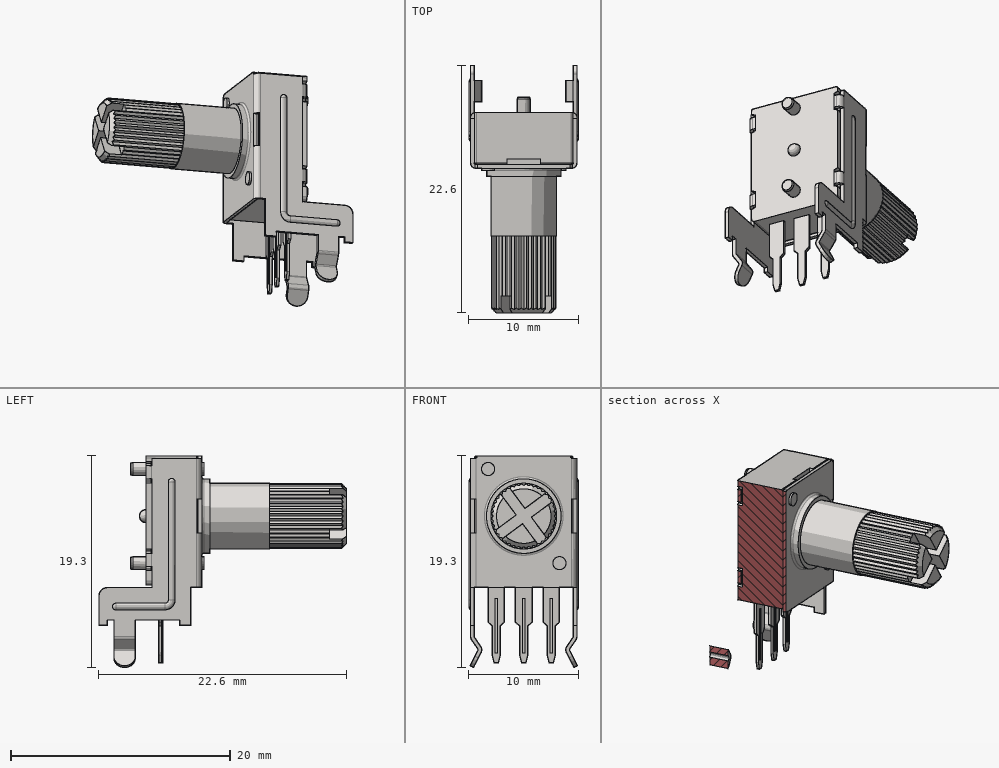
import cadquery as cq
import math


SHEET = 0.36
BRACKET_WIDTH = 9.72
BEND_OUTER_R = 0.5
BEND_INNER_R = BEND_OUTER_R - SHEET
BRACKET_BOTTOM = -6.5
SIDE_TOP = 5.27
SIDE_BACK = 4.57
HALF_WIDTH = BRACKET_WIDTH / 2
INNER_HALF = HALF_WIDTH - SHEET

TONGUE_BASE_HALF = 4.43
TONGUE_TOP_HALF = 4.2

NECK_D = 6.8
NECK_LENGTH = 0.72
NECK_FILLET = 0.18
BOSS_D = 1.2
BOSS_HEIGHT = 0.2
BOSS_X = 3.25
BOSS_Z = 4.3
NOTCH_HALF = 1.54
NOTCH_DEPTH = 0.43

FOOT_FRONT = 1.02
FOOT_BACK = 9.4
FOOT_CORNER_R = 0.8
FRONT_FOOT_LENGTH = 1.02
BACK_FOOT_LENGTH = 0.77
FOOT_BOTTOM = -9.97
EDGE_BOTTOM = -9.5

LEG_Y = 7.05
LEG_WIDTH = 1.97
LEG_TIP_R = 0.97
LEG_BOTTOM = -13.8
UPPER_KNEE_Z = -11.15
LOWER_KNEE_Z = -12.18
LEG_IN_ANGLE = 34
LEG_OUT_ANGLE = 27
KNEE_INNER_R = 0.14
KNEE_OUTER_R = KNEE_INNER_R + SHEET

RIB_WIDTH = 0.6
RIB_HALF_WIDTH = RIB_WIDTH / 2
RIB_HEIGHT = 0.14
RIB_Y = 2.75
RIB_Z = -8.25
RIB_TOP = 3.44
RIB_BACK = 8.15
RIB_BEND_R = 0.6

TAB_Z = 4.0
TAB_HEIGHT = 1.22
TAB_REACH = 0.77

HOUSING_TOP = 5.5
HOUSING_BOTTOM = -6.3
HOUSING_BACK = 5.1
TOP_EDGE_R = 0.2
BOTTOM_EDGE_R = 0.38
SLOT_BACK = 0.84
SLOT_DEPTH = 0.4
RECESS_HEIGHT = 1.97
RECESS_SLOPE = 0.18
RECESS_DEPTH = 0.47
PEG_D = 1.2
PEG_END = 6.5
PEG_Z = 4.3
PEG_CHAMFER_LENGTH = 0.2
PEG_CHAMFER_INSET = 0.07

SHAFT_D = 6.01
SHAFT_TIP = -13.2
SPLINE_START = -6.17
SPLINE_PEAK_R = 2.95
SPLINE_ROOT_R = 2.8
TEETH = 40
TIP_CHAMFER = 0.47
CROSS_WIDTH = 1.0
CROSS_DEPTH = 1.55
CROSS_ANGLE = 36.5

PIN_PITCH = 2.5
PIN_THICKNESS = 0.25
PIN_FRONT = 3.7
MIDDLE_PIN_FRONT = 3.57
PIN_WIDTH = 1.5
MIDDLE_PIN_WIDTH = 1.55
PIN_NARROW_WIDTH = 0.77
PIN_TIP_WIDTH = 0.4
SHOULDER_TOP = -9.67
SHOULDER_BOTTOM = -10.01
TAPER_TOP = -12.65
PIN_BOTTOM = -13.38
GROOVE_WIDTH = 0.2
GROOVE_DEPTH = 0.07
GROOVE_TOP = -7.5
GROOVE_BOTTOM = -12.5


def box(x, y, z):
    """Box given by its (low, high) limits along each axis."""
    corner = cq.Workplane("XY", origin=(x[0], y[0], z[0]))
    return corner.box(x[1] - x[0], y[1] - y[0], z[1] - z[0], centered=False)


def rod(diameter, y_front, y_back, x=0, z=0):
    """Cylinder along Y."""
    plane = cq.Workplane("XZ", origin=(x, y_back, z))
    return plane.circle(diameter / 2).extrude(y_back - y_front)


def both_sides(shape):
    """A shape on the -X side together with its mirror image."""
    return shape.union(shape.mirror("YZ"))



def channel():
    """Front plate with both sides bent back, notched at the bends."""
    outer = box((-HALF_WIDTH, HALF_WIDTH), (0, SIDE_BACK), (BRACKET_BOTTOM, SIDE_TOP))
    outer = outer.edges("|Z and <Y").fillet(BEND_OUTER_R)
    inner = box((-INNER_HALF, INNER_HALF), (SHEET, SIDE_BACK), (BRACKET_BOTTOM, SIDE_TOP))
    inner = inner.edges("|Z and <Y").fillet(BEND_INNER_R)
    notch = box(
        (-HALF_WIDTH, BEND_OUTER_R - HALF_WIDTH), (0, NOTCH_DEPTH), (-NOTCH_HALF, NOTCH_HALF)
    )
    return outer.cut(inner).cut(both_sides(notch))


def tongue():
    """Strip with sloped ends on top of the front plate."""
    outline = [
        (-TONGUE_BASE_HALF, SIDE_TOP),
        (TONGUE_BASE_HALF, SIDE_TOP),
        (TONGUE_TOP_HALF, HOUSING_TOP),
        (-TONGUE_TOP_HALF, HOUSING_TOP),
    ]
    return cq.Workplane("XZ").polyline(outline).close().extrude(-SHEET)


def neck():
    """Collar around the shaft, flared where it leaves the plate."""
    radius = NECK_D / 2
    flare = radius + NECK_FILLET
    profile = (
        cq.Workplane("XY")
        .lineTo(flare, 0)
        .radiusArc((radius, -NECK_FILLET), -NECK_FILLET)
        .lineTo(radius, -NECK_LENGTH)
        .lineTo(0, -NECK_LENGTH)
        .close()
    )
    return profile.revolve(360, (0, 0, 0), (0, 1, 0))


def side_skirt():
    """Lower part of the -X side plate, with its two feet."""
    front_foot = FOOT_FRONT + FRONT_FOOT_LENGTH
    back_foot = FOOT_BACK - BACK_FOOT_LENGTH
    outline = [
        (FOOT_FRONT, BRACKET_BOTTOM),
        (FOOT_FRONT, FOOT_BOTTOM),
        (front_foot, FOOT_BOTTOM),
        (front_foot, EDGE_BOTTOM),
        (back_foot, EDGE_BOTTOM),
        (back_foot, FOOT_BOTTOM),
        (FOOT_BACK, FOOT_BOTTOM),
        (FOOT_BACK, BRACKET_BOTTOM),
    ]
    plane = cq.Workplane("YZ", origin=(-HALF_WIDTH, 0, 0))
    skirt = plane.polyline(outline).close().extrude(SHEET)
    return skirt.edges("|X and >Y and >Z").fillet(FOOT_CORNER_R)


def across_sheet(point, angle_above, angle_below):
    """Point on the inner face of the leg opposite a knee on its outer face.

    The angles are those of the leg above and below the knee, inward from straight down.
    """
    middle = math.radians((angle_above + angle_below) / 2)
    half_turn = math.radians((angle_below - angle_above) / 2)
    step = SHEET / math.cos(half_turn)
    return (point[0] + step * math.cos(middle), point[1] + step * math.sin(middle))


def leg():
    """Leg under the -X side plate: bent inward, then outward to a round tip."""
    top = (-HALF_WIDTH, EDGE_BOTTOM)
    upper = (-HALF_WIDTH, UPPER_KNEE_Z)
    inward = (UPPER_KNEE_Z - LOWER_KNEE_Z) * math.tan(math.radians(LEG_IN_ANGLE))
    lower = (upper[0] + inward, LOWER_KNEE_Z)
    tip_z = LEG_BOTTOM + SHEET * math.sin(math.radians(LEG_OUT_ANGLE))
    outward = (LOWER_KNEE_Z - tip_z) * math.tan(math.radians(LEG_OUT_ANGLE))
    tip = (lower[0] - outward, tip_z)

    inner_top = across_sheet(top, 0, 0)
    inner_upper = across_sheet(upper, 0, LEG_IN_ANGLE)
    inner_lower = across_sheet(lower, LEG_IN_ANGLE, -LEG_OUT_ANGLE)
    inner_tip = across_sheet(tip, -LEG_OUT_ANGLE, -LEG_OUT_ANGLE)

    outline = [top, upper, lower, tip, inner_tip, inner_lower, inner_upper, inner_top]
    plane = cq.Workplane("XZ", origin=(0, LEG_Y, 0))
    body = plane.polyline(outline).close().extrude(LEG_WIDTH / 2, both=True)
    body = body.faces("<Z").edges("not |Y").fillet(LEG_TIP_R)
    knees = [
        (upper, KNEE_OUTER_R),
        (inner_upper, KNEE_INNER_R),
        (lower, KNEE_INNER_R),
        (inner_lower, KNEE_OUTER_R),
    ]
    for knee, radius in knees:
        edge = cq.NearestToPointSelector((knee[0], LEG_Y, knee[1]))
        body = body.edges(edge).fillet(radius)
    return body


def rib():
    """L-shaped rib with a circular-segment section and domed ends."""
    radius = (RIB_HALF_WIDTH ** 2 + RIB_HEIGHT ** 2) / (2 * RIB_HEIGHT)
    axis_x = -HALF_WIDTH - RIB_HEIGHT + radius
    top_z = RIB_TOP - RIB_HALF_WIDTH
    back_y = RIB_BACK - RIB_HALF_WIDTH
    path = (
        cq.Workplane("YZ", origin=(axis_x, 0, 0))
        .moveTo(RIB_Y, top_z)
        .lineTo(RIB_Y, RIB_Z + RIB_BEND_R)
        .radiusArc((RIB_Y + RIB_BEND_R, RIB_Z), -RIB_BEND_R)
        .lineTo(back_y, RIB_Z)
    )
    start = cq.Workplane("XY", origin=(axis_x, RIB_Y, top_z))
    bar = start.circle(radius).sweep(path)
    ball = cq.Workplane("XY").sphere(radius)
    bar = bar.union(ball.translate((axis_x, RIB_Y, top_z)))
    bar = bar.union(ball.translate((axis_x, back_y, RIB_Z)))
    outside = box(
        (-HALF_WIDTH - SHEET, -HALF_WIDTH), (0, FOOT_BACK), (FOOT_BOTTOM, SIDE_TOP)
    )
    return bar.intersect(outside)


def tab(z):
    """Tab of the -X side plate, folded over the back of the housing."""
    span = (z - TAB_HEIGHT / 2, z + TAB_HEIGHT / 2)
    end_x = -HALF_WIDTH + TAB_REACH
    outer = box((-HALF_WIDTH, end_x), (SIDE_BACK, HOUSING_BACK), span)
    outer = outer.edges("|Z and <X and >Y").fillet(BEND_OUTER_R)
    inner = box((-INNER_HALF, end_x), (SIDE_BACK, HOUSING_BACK - SHEET), span)
    return outer.cut(inner)


def make_bracket():
    side = side_skirt().union(leg()).union(rib())
    for z in (-TAB_Z, TAB_Z):
        side = side.union(tab(z))
    bracket = channel().union(tongue()).union(both_sides(side)).union(neck())
    for x, z in ((-BOSS_X, BOSS_Z), (BOSS_X, -BOSS_Z)):
        bracket = bracket.union(rod(BOSS_D, -BOSS_HEIGHT, 0, x, z))
    return bracket.cut(rod(SHAFT_D, -NECK_LENGTH, SHEET))



def tab_recess(z):
    """Recess with sloped ends in the -X back edge of the housing."""
    half = RECESS_HEIGHT / 2
    floor_x = -HALF_WIDTH + TAB_REACH
    outline = [
        (-INNER_HALF, z - half),
        (floor_x, z - half + RECESS_SLOPE),
        (floor_x, z + half - RECESS_SLOPE),
        (-INNER_HALF, z + half),
    ]
    plane = cq.Workplane("XZ", origin=(0, HOUSING_BACK, 0))
    return plane.polyline(outline).close().extrude(RECESS_DEPTH)


def make_housing():
    housing = box(
        (-INNER_HALF, INNER_HALF), (SHEET, HOUSING_BACK), (HOUSING_BOTTOM, HOUSING_TOP)
    )
    housing = housing.edges("|Y and >Z").fillet(TOP_EDGE_R)
    housing = housing.edges("|Y and <Z").fillet(BOTTOM_EDGE_R)
    housing = housing.faces("<Y").edges().chamfer(BEND_INNER_R)
    slot = box(
        (-NOTCH_HALF, NOTCH_HALF), (SHEET, SLOT_BACK), (HOUSING_TOP - SLOT_DEPTH, HOUSING_TOP)
    )
    housing = housing.cut(slot)
    for z in (-TAB_Z, TAB_Z):
        housing = housing.cut(both_sides(tab_recess(z)))
    for z in (-PEG_Z, PEG_Z):
        peg = rod(PEG_D, HOUSING_BACK, PEG_END, z=z)
        peg = peg.faces(">Y").chamfer(PEG_CHAMFER_LENGTH, PEG_CHAMFER_INSET)
        housing = housing.union(peg)
    dome = cq.Workplane("XY").sphere(PEG_D / 2).translate((0, HOUSING_BACK, 0))
    return housing.union(dome)



def splines():
    """Splined end: a ring of triangular teeth with a root on each axis."""
    outline = []
    for step in range(2 * TEETH):
        angle = math.pi * step / TEETH
        radius = SPLINE_PEAK_R if step % 2 else SPLINE_ROOT_R
        outline.append((radius * math.cos(angle), radius * math.sin(angle)))
    length = SPLINE_START - SHAFT_TIP
    plane = cq.Workplane("XZ", origin=(0, SPLINE_START, 0))
    star = plane.polyline(outline).close().extrude(length)
    envelope = rod(2 * SPLINE_PEAK_R, SHAFT_TIP, SPLINE_START)
    return star.intersect(envelope.faces("<Y").chamfer(TIP_CHAMFER))


def make_shaft():
    shaft = rod(SHAFT_D, SPLINE_START, SHEET).union(splines())
    cross_end = SHAFT_TIP + CROSS_DEPTH
    blade = box(
        (-SHAFT_D / 2, SHAFT_D / 2), (SHAFT_TIP, cross_end), (-CROSS_WIDTH / 2, CROSS_WIDTH / 2)
    )
    for angle in (CROSS_ANGLE, CROSS_ANGLE + 90):
        shaft = shaft.cut(blade.rotate((0, 0, 0), (0, 1, 0), -angle))
    return shaft



def make_pin(x, front, width):
    """Flat terminal with a shoulder, a tapered tip and a groove in its front face."""
    right_side = [
        (width / 2, HOUSING_BOTTOM),
        (width / 2, SHOULDER_TOP),
        (PIN_NARROW_WIDTH / 2, SHOULDER_BOTTOM),
        (PIN_NARROW_WIDTH / 2, TAPER_TOP),
        (PIN_TIP_WIDTH / 2, PIN_BOTTOM),
    ]
    left_side = [(-px, pz) for px, pz in reversed(right_side)]
    plane = cq.Workplane("XZ", origin=(x, front, 0))
    pin = plane.polyline(right_side + left_side).close().extrude(-PIN_THICKNESS)
    groove = box(
        (x - GROOVE_WIDTH / 2, x + GROOVE_WIDTH / 2),
        (front, front + GROOVE_DEPTH),
        (GROOVE_BOTTOM, GROOVE_TOP),
    )
    return pin.cut(groove)


bracket = make_bracket()
housing = make_housing()
shaft = make_shaft()

pins = []
for place in (-1, 0, 1):
    if place == 0:
        pin = make_pin(0, MIDDLE_PIN_FRONT, MIDDLE_PIN_WIDTH)
    else:
        pin = make_pin(place * PIN_PITCH, PIN_FRONT, PIN_WIDTH)
    pins.append(pin.val())

result = cq.Compound.makeCompound([bracket.val(), housing.val(), shaft.val(), *pins])